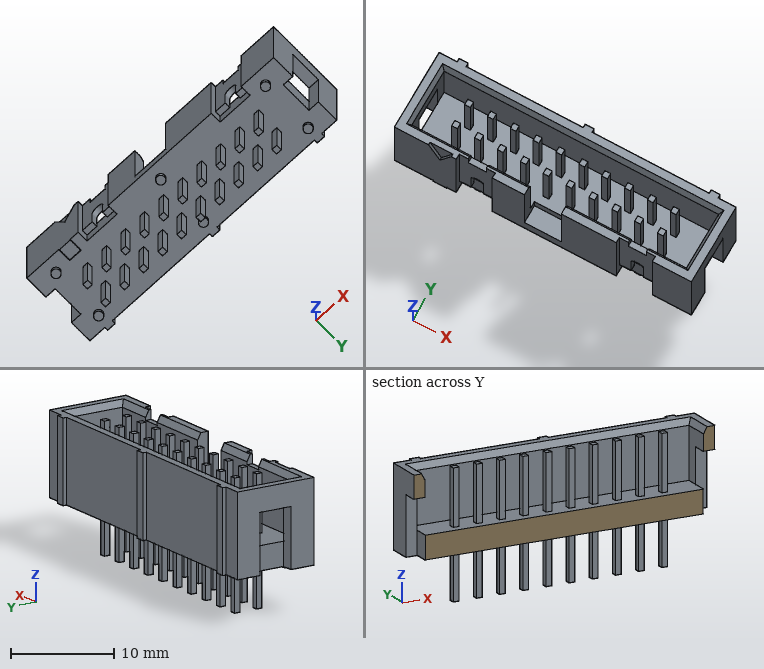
import cadquery as cq

housing_length = 33.0
housing_height = 8.9
front_y = -4.5
back_y = 4.4

wall = 1.25
floor_z = 2.58
mouth_rim = 0.87
mouth_chamfer_width = wall - mouth_rim
mouth_chamfer_height = 0.7

pitch = 2.54
columns = 10
rows = 2
pin_width = 0.64
pin_top_gap = 0.25
overall_height = 13.95
pin_bottom_z = housing_height - overall_height
pin_top_z = housing_height - pin_top_gap
first_pin_x = -(columns - 1) / 2 * pitch

key_width = 4.1
key_depth = 2.0
key_bottom_z = 1.5

recess_centers = (-3 * pitch, 4 * pitch)
recess_width = 4.0
recess_depth = 0.6
recess_foot_height = 1.7
window_width = 1.4
window_top_z = 4.7
notch_width = 2.0
notch_depth = 1.0

end_slot_width = 3.6
end_slot_top_z = 6.4

arrow_width = pitch
arrow_height = 2.5
arrow_depth = 0.3
foot_tab_size = 1.5
foot_tab_height = 0.2

support_columns = (-14.0, 0.0, 14.0)
standoff_y = 3.0
standoff_diameter = 1.0
standoff_height = 0.5
rib_width = 1.0
rib_depth = 0.4


def block(x_min, x_max, y_min, y_max, z_min, z_max):
    """Axis-aligned box given by its limits."""
    size = (x_max - x_min, y_max - y_min, z_max - z_min)
    return cq.Workplane("XY").box(*size, centered=False).translate((x_min, y_min, z_min))


def centered_block(center_x, width, y_min, y_max, z_min, z_max):
    """Axis-aligned box centred on an X position."""
    half = width / 2
    return block(center_x - half, center_x + half, y_min, y_max, z_min, z_max)


def housing_shell():
    """Open-topped box with a chamfered mouth."""
    body = centered_block(0, housing_length, front_y, back_y, 0, housing_height)
    inner_length = housing_length - 2 * wall
    inner_width = back_y - front_y - 2 * wall
    cavity = centered_block(0, inner_length, front_y + wall, back_y - wall, floor_z, housing_height)
    mouth = (
        cq.Workplane("XY", origin=(0, (front_y + back_y) / 2, housing_height - mouth_chamfer_height))
        .rect(inner_length, inner_width)
        .workplane(offset=mouth_chamfer_height)
        .rect(inner_length + 2 * mouth_chamfer_width, inner_width + 2 * mouth_chamfer_width)
        .loft(ruled=True)
    )
    return body.cut(cavity).cut(mouth)


def key_slot():
    """Slot open at the top that cuts through the front wall and into the floor."""
    return centered_block(0, key_width, front_y, front_y + key_depth, key_bottom_z, housing_height)


def latch_recess(center_x):
    """Shallow recess with a top notch, a round-topped window and an undercut foot."""
    inner_y = front_y + wall
    face = centered_block(center_x, recess_width, front_y, front_y + recess_depth, 0, housing_height)
    foot = centered_block(center_x, recess_width, front_y, inner_y, 0, recess_foot_height)
    notch_bottom_z = housing_height - notch_depth
    notch = centered_block(center_x, notch_width, front_y, inner_y, notch_bottom_z, housing_height)
    arc_center_z = window_top_z - window_width / 2
    window = centered_block(center_x, window_width, front_y, inner_y, 0, arc_center_z)
    window_arch = (
        cq.Workplane("XZ", origin=(center_x, inner_y, arc_center_z))
        .circle(window_width / 2)
        .extrude(wall)
    )
    return face.union(foot).union(notch).union(window).union(window_arch)


def end_slot(outer_x, inner_x):
    """Slot through one end wall, open at the underside."""
    half = end_slot_width / 2
    return block(min(outer_x, inner_x), max(outer_x, inner_x), -half, half, 0, end_slot_top_z)


def pin_one_arrow():
    """Engraved triangle pointing down at the first pin."""
    half = arrow_width / 2
    return (
        cq.Workplane("XZ", origin=(first_pin_x, front_y + arrow_depth, housing_height))
        .polyline([(-half, 0), (half, 0), (0, -arrow_height)])
        .close()
        .extrude(arrow_depth)
    )


def pin_one_tab():
    """Thin pad under the front edge at the first pin."""
    return centered_block(
        first_pin_x, foot_tab_size, front_y, front_y + foot_tab_size, -foot_tab_height, 0
    )


def standoffs():
    """Round feet in two rows under the housing."""
    places = [(x, y) for x in support_columns for y in (-standoff_y, standoff_y)]
    return (
        cq.Workplane("XY")
        .pushPoints(places)
        .circle(standoff_diameter / 2)
        .extrude(-standoff_height)
    )


def pins():
    """Square pins running through the housing floor."""
    return (
        cq.Workplane("XY", origin=(0, 0, pin_bottom_z))
        .rarray(pitch, pitch, columns, rows)
        .rect(pin_width, pin_width)
        .extrude(pin_top_z - pin_bottom_z)
    )


result = housing_shell().cut(key_slot()).cut(pin_one_arrow())
for recess_x in recess_centers:
    result = result.cut(latch_recess(recess_x))
for side in (-1, 1):
    end_x = side * housing_length / 2
    result = result.cut(end_slot(end_x, end_x - side * wall))
for rib_x in support_columns:
    result = result.union(centered_block(rib_x, rib_width, back_y, back_y + rib_depth, 0, housing_height))
result = result.union(pin_one_tab()).union(standoffs()).union(pins())